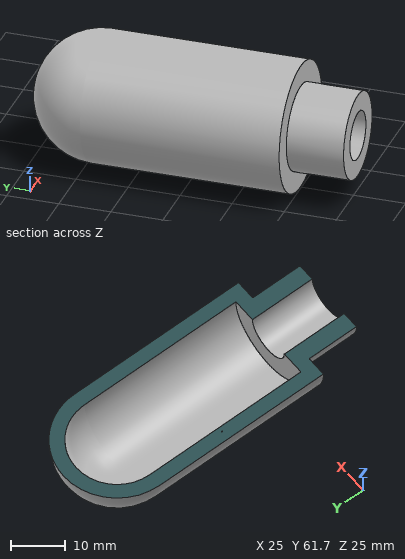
import cadquery as cq
import math

overall_length = 61.7
body_diameter = 25.0
spigot_diameter = 16.66
spigot_length = 11.0
bore_diameter = 9.3
cavity_diameter = 19.0

body_radius = body_diameter / 2
spigot_radius = spigot_diameter / 2
bore_radius = bore_diameter / 2
cavity_radius = cavity_diameter / 2
wall_thickness = body_radius - cavity_radius

spigot_face_y = body_radius - overall_length
shoulder_y = spigot_face_y + spigot_length
cavity_floor_y = shoulder_y + wall_thickness


def domed_solid(axial_steps, dome_radius):
    """Solid of revolution about Y, closed at +Y by a hemisphere centred on the origin.

    axial_steps lists (radius, y) corners from the -Y end up to the foot of the dome.
    """
    dome_mid = dome_radius * math.sqrt(0.5)
    start_y = axial_steps[0][1]
    half_profile = (
        cq.Workplane("XY")
        .moveTo(0, start_y)
        .polyline(axial_steps + [(dome_radius, 0)], includeCurrent=True)
        .threePointArc((dome_mid, dome_mid), (0, dome_radius))
        .close()
    )
    return half_profile.revolve(360, (0, 0, 0), (0, 1, 0))


def make_body():
    """Narrow spigot, full-diameter body and hemispherical end."""
    return domed_solid(
        [
            (spigot_radius, spigot_face_y),
            (spigot_radius, shoulder_y),
            (body_radius, shoulder_y),
        ],
        body_radius,
    )


def make_hollow():
    """Bore through the spigot, opening into a wider cavity with a hemispherical end."""
    return domed_solid(
        [
            (bore_radius, spigot_face_y),
            (bore_radius, cavity_floor_y),
            (cavity_radius, cavity_floor_y),
        ],
        cavity_radius,
    )


result = make_body().cut(make_hollow())